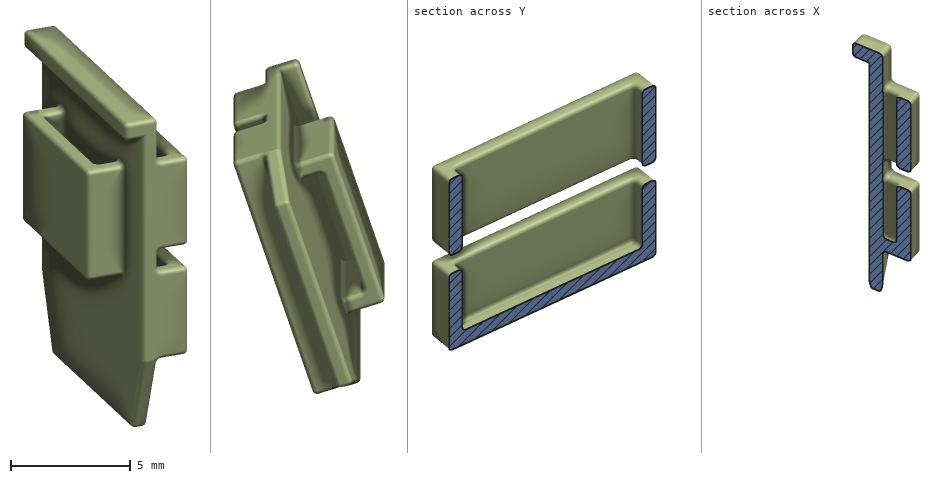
import cadquery as cq

plate_width = 10.91
plate_height = 14.5
plate_thickness = 0.7
taper_height = 3.5
bottom_width = 8.55

lip_reach = 0.8
lip_height = 0.8

wall = 0.7
back_loop_height = 4.0
back_loop_spacing = 5.0
back_loop_gap = 0.7
back_loop_count = 2
front_loop_width = 7.0
front_loop_height = 5.0
front_loop_gap = 1.0
front_loop_drop = 2.8

edge_radius = 0.2

half_width = plate_width / 2
half_bottom = bottom_width / 2
front_face = -plate_thickness
lip_bottom = plate_height - lip_height


def make_plate():
    """Plate with both lower corners tapered inward."""
    return (
        cq.Workplane("XZ")
        .moveTo(-half_bottom, 0)
        .lineTo(half_bottom, 0)
        .lineTo(half_width, taper_height)
        .lineTo(half_width, plate_height)
        .lineTo(-half_width, plate_height)
        .lineTo(-half_width, taper_height)
        .close()
        .extrude(plate_thickness)
    )


def make_lip():
    """Bar across the top of the front face."""
    return (
        cq.Workplane("XY", origin=(0, front_face - lip_reach / 2, lip_bottom))
        .box(plate_width, lip_reach, lip_height, centered=(True, True, False))
    )


def make_loop(width, gap, height, base_y, base_z, outward, floor=0):
    """Loop on the face at base_y, projecting toward +Y (outward = 1) or -Y (outward = -1).

    A positive floor closes the bottom of the opening with that thickness.
    """
    depth = gap + wall
    outer = (
        cq.Workplane("XY", origin=(0, base_y + outward * depth / 2, base_z))
        .box(width, depth, height, centered=(True, True, False))
    )
    opening = (
        cq.Workplane("XY", origin=(0, base_y + outward * gap / 2, base_z + floor))
        .box(width - 2 * wall, gap, height - floor, centered=(True, True, False))
    )
    return outer.cut(opening)


def round_edges(body):
    """Round every edge except the inner corner under the lip."""
    lip_corner = cq.selectors.BoxSelector(
        (-edge_radius, front_face - edge_radius, lip_bottom - edge_radius),
        (edge_radius, front_face + edge_radius, lip_bottom + edge_radius),
    )
    return body.edges(cq.selectors.InverseSelector(lip_corner)).fillet(edge_radius)


body = make_plate().union(make_lip())

for index in range(back_loop_count):
    loop_bottom = taper_height + index * back_loop_spacing
    floor = wall if index == 0 else 0
    loop = make_loop(plate_width, back_loop_gap, back_loop_height, 0, loop_bottom, 1, floor)
    body = body.union(loop)

front_loop_bottom = plate_height - front_loop_drop - front_loop_height
body = body.union(
    make_loop(front_loop_width, front_loop_gap, front_loop_height, front_face, front_loop_bottom, -1)
)

result = round_edges(body)